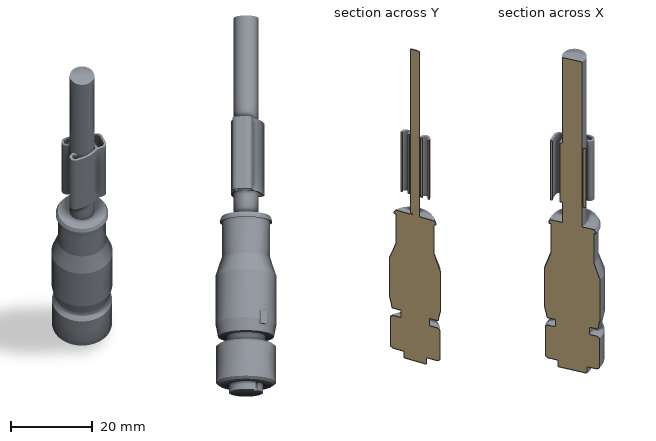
import cadquery as cq
import math

total_length = 94.0
nut_bottom = 2.0
nut_top = 12.0
body_bottom = 14.1
barrel_bottom = 17.2
barrel_top = 29.2
boot_bottom = 33.9
collar_bottom = 42.8
collar_top = 44.1
clip_bottom = 50.0
clip_length = 18.05

tip_radius = 4.1
nut_radius = 7.3
neck_radius = 4.8
body_end_radius = 6.9
barrel_radius = 14.9 / 2
boot_radius = 5.9
collar_radius = 6.4
cable_radius = 3.0

nut_chamfer_width = 0.75
nut_chamfer_height = 0.6
collar_chamfer_width = 0.5
collar_chamfer_height = 0.8

mark_angle = 135.0
mark_width = 1.7
mark_bottom = 15.9
mark_top = 19.1
mark_face_distance = 8.0

keyway_angle = 143.0
keyway_width = 1.0
keyway_depth = 0.8

clip_wall = 0.6
clip_half_width = 3.95
arm_radius = 7.5
leg_top_y = -1.5
hook_radius = 1.3
hook_center_y = -2.9
hook_tip_y = -2.3
hook_tip_lean = 0.5
holder_half_width = 2.4
holder_back = 5.8
holder_base = 2.7
holder_corner_radius = 1.4
window_front = 3.3


def make_turned_body():
    """Revolve the plug tip, nut, neck, grip body, boot, collar and cable."""
    nut_rim_radius = nut_radius - nut_chamfer_width
    collar_rim_radius = collar_radius - collar_chamfer_width
    profile = [
        (0, 0),
        (tip_radius, 0),
        (tip_radius, nut_bottom),
        (nut_rim_radius, nut_bottom),
        (nut_radius, nut_bottom + nut_chamfer_height),
        (nut_radius, nut_top - nut_chamfer_height),
        (nut_rim_radius, nut_top),
        (neck_radius, nut_top),
        (neck_radius, body_bottom),
        (body_end_radius, body_bottom),
        (barrel_radius, barrel_bottom),
        (barrel_radius, barrel_top),
        (boot_radius, boot_bottom),
        (boot_radius, collar_bottom),
        (collar_radius, collar_bottom),
        (collar_radius, collar_top - collar_chamfer_height),
        (collar_rim_radius, collar_top),
        (cable_radius, collar_top),
        (cable_radius, total_length),
        (0, total_length),
    ]
    return cq.Workplane("XZ").polyline(profile).close().revolve(360, (0, 0), (0, 1))


def radial_block(inner, outer, width, bottom, top, angle):
    """Block reaching from inner to outer distance along a radial direction."""
    block = cq.Workplane("XY").box(outer - inner, width, top - bottom, centered=(False, True, False))
    return block.translate((inner, 0, bottom)).rotate((0, 0, 0), (0, 0, 1), angle)


def make_clip_arm():
    """Arm on the +X side: a curved flank, a straight leg and an inward hook."""
    arc_center_x = clip_half_width - arm_radius
    arm_inner_radius = arm_radius - clip_wall
    leg_inner_x = clip_half_width - clip_wall

    def flank_point(radius, y):
        return arc_center_x + math.sqrt(radius**2 - (y - leg_top_y) ** 2), y

    flank_middle_y = (holder_base + leg_top_y) / 2
    hook_x = clip_half_width - hook_radius
    hook_inner_radius = hook_radius - clip_wall
    hook_end_x = hook_x - hook_radius
    hook_tip_x = hook_end_x + hook_tip_lean
    return (
        cq.Workplane("XY", origin=(0, 0, clip_bottom))
        .moveTo(holder_half_width, window_front)
        .lineTo(*flank_point(arm_radius, holder_base))
        .threePointArc(flank_point(arm_radius, flank_middle_y), (clip_half_width, leg_top_y))
        .lineTo(clip_half_width, hook_center_y)
        .threePointArc((hook_x, hook_center_y - hook_radius), (hook_end_x, hook_center_y))
        .lineTo(hook_tip_x, hook_tip_y)
        .lineTo(hook_tip_x + clip_wall, hook_tip_y)
        .lineTo(hook_end_x + clip_wall, hook_center_y)
        .threePointArc((hook_x, hook_center_y - hook_inner_radius), (leg_inner_x, hook_center_y))
        .lineTo(leg_inner_x, leg_top_y)
        .threePointArc(
            flank_point(arm_inner_radius, flank_middle_y),
            flank_point(arm_inner_radius, holder_base),
        )
        .lineTo(holder_half_width - clip_wall, window_front)
        .close()
        .extrude(clip_length)
    )


def make_label_holder():
    """Rectangular sleeve behind the cable, open at both ends."""
    depth = holder_back - holder_base
    sleeve = (
        cq.Workplane("XY", origin=(0, holder_base + depth / 2, clip_bottom))
        .rect(2 * holder_half_width, depth)
        .extrude(clip_length)
        .edges("|Z and >Y")
        .fillet(holder_corner_radius)
    )
    window_back = holder_back - clip_wall
    window = (
        cq.Workplane("XY", origin=(0, (window_front + window_back) / 2, clip_bottom))
        .rect(2 * (holder_half_width - clip_wall), window_back - window_front)
        .extrude(clip_length)
        .edges("|Z and >Y")
        .fillet(holder_corner_radius - clip_wall)
    )
    return sleeve.cut(window)


mark = radial_block(neck_radius, mark_face_distance, mark_width, mark_bottom, mark_top, mark_angle)
keyway = radial_block(
    tip_radius - keyway_depth, tip_radius + keyway_depth, keyway_width, 0, nut_bottom, keyway_angle
)
clip_arm = make_clip_arm()

result = (
    make_turned_body()
    .union(mark)
    .cut(keyway)
    .union(make_label_holder())
    .union(clip_arm)
    .union(clip_arm.mirror("YZ"))
)